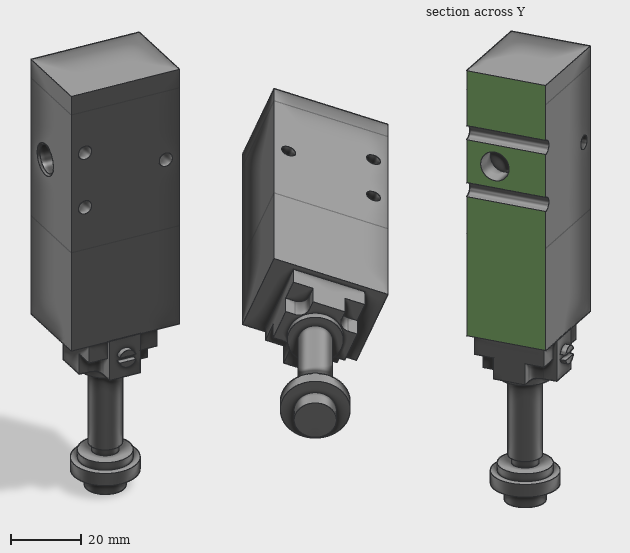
import cadquery as cq

TOTAL_HEIGHT = 137.0

BLOCK_X = 25.0
BLOCK_Y = 35.0
CAP_HEIGHT = 6.0
PORT_SECTION_HEIGHT = 45.0
LOWER_SECTION_HEIGHT = 32.0

NECK_SIDE = 21.9
NECK_UPPER_HEIGHT = 6.3
NECK_NOTCHED_HEIGHT = 6.6
ARM_WIDTH = 9.9
NOTCH_FILLET = 3.2
PLATE_THICKNESS = 1.2

COLLAR_DIAMETER = 16.0
COLLAR_PROJECTION = 2.0
TUBE_DIAMETER = 10.0
TUBE_LENGTH = 25.1

STEM_DIAMETER = 8.0
FLANGE_DIAMETER = 16.0
FLANGE_HEIGHT = 2.5
DISC_DIAMETER = 20.0
DISC_HEIGHT = 4.0
BUTTON_DIAMETER = 12.0
BUTTON_HEIGHT = 5.1

MOUNT_DIAMETER = 4.2
MOUNT_OFFSET_Y = 13.0
MOUNT_PAIR_PITCH = 17.8
PORT_DIAMETER = 8.8
PORT_MOUTH_DIAMETER = 10.0
PORT_DEPTH = 11.0
PORT_X = -3.5
PORT_BELOW_TOP = 28.4

SCREW_DIAMETER = 5.5
SCREW_SLOT_WIDTH = 1.6
SCREW_RISE = 0.3
SCREW_END_X = 26.5 - BLOCK_X / 2

CAP_BOTTOM = TOTAL_HEIGHT - CAP_HEIGHT
PORT_SECTION_BOTTOM = CAP_BOTTOM - PORT_SECTION_HEIGHT
BLOCK_BOTTOM = PORT_SECTION_BOTTOM - LOWER_SECTION_HEIGHT
NOTCH_TOP = BLOCK_BOTTOM - NECK_UPPER_HEIGHT
NECK_BOTTOM = NOTCH_TOP - NECK_NOTCHED_HEIGHT
COLLAR_BOTTOM = NECK_BOTTOM - COLLAR_PROJECTION
TUBE_BOTTOM = COLLAR_BOTTOM - TUBE_LENGTH
PORT_Z = TOTAL_HEIGHT - PORT_BELOW_TOP
SCREW_Z = (BLOCK_BOTTOM + NECK_BOTTOM) / 2 + SCREW_RISE


def box_between(size_x, size_y, bottom, top):
    """Box centred on the Z axis between two levels."""
    return cq.Workplane("XY").workplane(offset=bottom).rect(size_x, size_y).extrude(top - bottom)


def cylinder_between(diameter, bottom, top):
    """Cylinder on the Z axis between two levels."""
    return cq.Workplane("XY").workplane(offset=bottom).circle(diameter / 2).extrude(top - bottom)


def make_block():
    cap = box_between(BLOCK_X, BLOCK_Y, CAP_BOTTOM, TOTAL_HEIGHT)
    port_section = box_between(BLOCK_X, BLOCK_Y, PORT_SECTION_BOTTOM, CAP_BOTTOM)
    lower_section = box_between(BLOCK_X, BLOCK_Y, BLOCK_BOTTOM, PORT_SECTION_BOTTOM)
    return cap.union(port_section, clean=False).union(lower_section, clean=False)


def make_neck():
    upper = box_between(NECK_SIDE, NECK_SIDE, NOTCH_TOP, BLOCK_BOTTOM)
    arm_along_x = box_between(NECK_SIDE, ARM_WIDTH, NECK_BOTTOM, NOTCH_TOP)
    arm_along_y = box_between(ARM_WIDTH, NECK_SIDE, NECK_BOTTOM, NOTCH_TOP)
    inner_corners = cq.selectors.BoxSelector(
        (-ARM_WIDTH, -ARM_WIDTH, NECK_BOTTOM),
        (ARM_WIDTH, ARM_WIDTH, NOTCH_TOP),
    )
    cross = arm_along_x.union(arm_along_y).edges("|Z").edges(inner_corners).fillet(NOTCH_FILLET)
    plate = box_between(PLATE_THICKNESS, ARM_WIDTH, NECK_BOTTOM, BLOCK_BOTTOM)
    plate = plate.translate(((NECK_SIDE + PLATE_THICKNESS) / 2, 0, 0))
    return upper.union(cross).union(plate)


def make_guide():
    collar = cylinder_between(COLLAR_DIAMETER, COLLAR_BOTTOM, NECK_BOTTOM)
    tube = cylinder_between(TUBE_DIAMETER, TUBE_BOTTOM, COLLAR_BOTTOM)
    return collar.union(tube)


def make_screw_head():
    plate_face = NECK_SIDE / 2 + PLATE_THICKNESS
    head_height = SCREW_END_X - plate_face
    plane = cq.Workplane("YZ", origin=(plate_face, 0, SCREW_Z))
    head = plane.circle(SCREW_DIAMETER / 2).extrude(head_height)
    slot = plane.rect(SCREW_DIAMETER, SCREW_SLOT_WIDTH).extrude(head_height)
    return head.cut(slot)


def make_mounting_holes():
    half_pitch = MOUNT_PAIR_PITCH / 2
    centers = [
        (-MOUNT_OFFSET_Y, half_pitch),
        (-MOUNT_OFFSET_Y, -half_pitch),
        (MOUNT_OFFSET_Y, 0),
    ]
    plane = cq.Workplane("YZ", origin=(-BLOCK_X / 2, 0, PORT_Z))
    return plane.pushPoints(centers).circle(MOUNT_DIAMETER / 2).extrude(BLOCK_X)


def make_port():
    """Blind port in the -Y face with a 45 degree chamfered mouth."""
    bore_radius = PORT_DIAMETER / 2
    mouth_radius = PORT_MOUTH_DIAMETER / 2
    chamfer = mouth_radius - bore_radius
    profile = [
        (0, 0),
        (mouth_radius, 0),
        (bore_radius, chamfer),
        (bore_radius, PORT_DEPTH),
        (0, PORT_DEPTH),
    ]
    cutter = cq.Workplane("XY").polyline(profile).close().revolve(360, (0, 0), (0, 1))
    return cutter.translate((PORT_X, -BLOCK_Y / 2, PORT_Z))


def make_housing():
    housing = make_block()
    for piece in (make_neck(), make_guide(), make_screw_head()):
        housing = housing.union(piece, clean=False)
    for cutter in (make_mounting_holes(), make_port()):
        housing = housing.cut(cutter, clean=False)
    return housing


def make_plunger():
    """Stem, flange, disc and button below the end of the guide tube."""
    disc_bottom = BUTTON_HEIGHT
    flange_bottom = disc_bottom + DISC_HEIGHT
    stem_bottom = flange_bottom + FLANGE_HEIGHT
    button = cylinder_between(BUTTON_DIAMETER, 0, disc_bottom)
    disc = cylinder_between(DISC_DIAMETER, disc_bottom, flange_bottom)
    flange = cylinder_between(FLANGE_DIAMETER, flange_bottom, stem_bottom)
    stem = cylinder_between(STEM_DIAMETER, stem_bottom, TUBE_BOTTOM)
    return button.union(disc).union(flange).union(stem)


housing = make_housing()
plunger = make_plunger()

result = cq.Compound.makeCompound([*housing.solids().vals(), *plunger.solids().vals()])